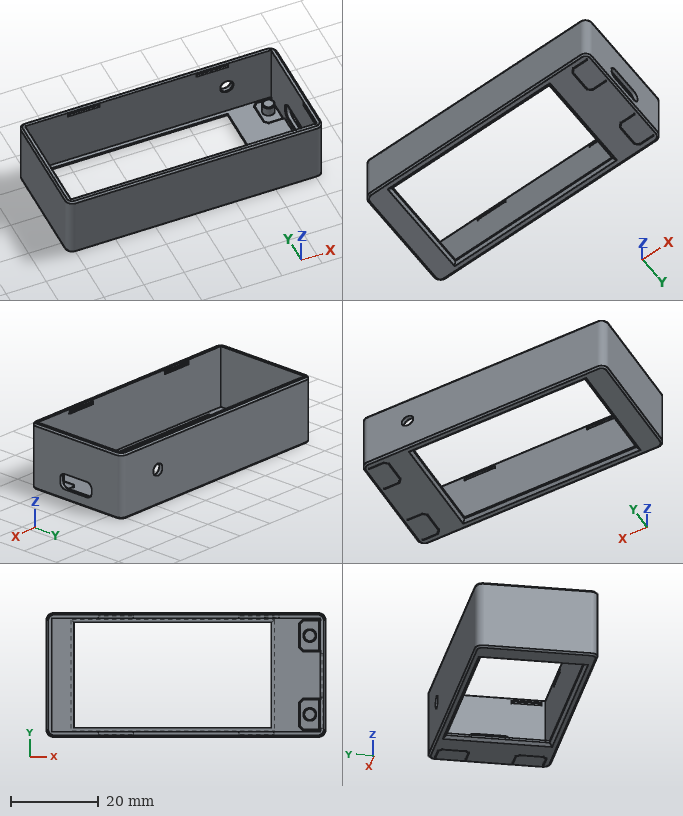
import cadquery as cq
import math

LENGTH = 63.8
WIDTH = 28.4
HEIGHT = 16.2
WALL = 1.2
FLOOR = 1.2
CORNER_RADIUS = 1.8
EDGE_CHAMFER = 0.45

INNER_LENGTH = LENGTH - 2 * WALL
INNER_WIDTH = WIDTH - 2 * WALL
INNER_X = INNER_LENGTH / 2
INNER_Y = INNER_WIDTH / 2
BOTTOM_Z = -HEIGHT / 2
FLOOR_Z = BOTTOM_Z + FLOOR

WINDOW_LENGTH = 45.0
WINDOW_WIDTH = 24.0
WINDOW_X = -3.05
WINDOW_LIP = 0.5
WINDOW_BEVEL = FLOOR - WINDOW_LIP

BUTTON_Y = 9.0
BUTTON_WIDTH = 6.9
BUTTON_START_X = 26.0
BUTTON_CORNER_CHAMFER = 0.75
BUTTON_GAP = 0.2
HINGE_WIDTH = 0.4
HINGE_DEPTH = 0.65

PIN_DIAMETER = 3.0
PIN_X = 28.25
PIN_HEIGHT = 2.5
PIN_CHAMFER = 0.25

ROUND_HOLE_DIAMETER = 3.0
ROUND_HOLE_X = 19.65
ROUND_HOLE_Z = 0.75
ROUND_HOLE_CHAMFER = 0.2

PORT_WIDTH = 9.8
PORT_HEIGHT = 3.8
PORT_CORNER_RADIUS = 1.5
PORT_Z = -3.5
PORT_CHAMFER = 0.25

GROOVE_LENGTH = 8.0
GROOVE_HEIGHT = 0.7
GROOVE_DEPTH = 0.6
GROOVE_Z = 7.3
SIDE_GROOVE_X = 16.0
END_GROOVE_LENGTH = 7.0
END_GROOVE_Y = -8.7


def make_shell():
    outer = (
        cq.Workplane("XY")
        .box(LENGTH, WIDTH, HEIGHT)
        .edges("|Z")
        .fillet(CORNER_RADIUS)
        .faces("<Z or >Z")
        .chamfer(EDGE_CHAMFER)
    )
    cavity = (
        cq.Workplane("XY", origin=(0, 0, FLOOR_Z))
        .rect(INNER_LENGTH, INNER_WIDTH)
        .extrude(HEIGHT)
    )
    return outer.cut(cavity)


def make_window():
    """Straight-sided lip at the top of the floor, with a 45 degree bevel opening out below it."""
    lip = (
        cq.Workplane("XY", origin=(WINDOW_X, 0, BOTTOM_Z))
        .rect(WINDOW_LENGTH, WINDOW_WIDTH)
        .extrude(FLOOR)
    )
    bevel = (
        cq.Workplane("XY", origin=(WINDOW_X, 0, BOTTOM_Z))
        .rect(WINDOW_LENGTH + 2 * WINDOW_BEVEL, WINDOW_WIDTH + 2 * WINDOW_BEVEL)
        .extrude(WINDOW_BEVEL, taper=45)
    )
    return lip.union(bevel)


def button_outline(margin):
    """Floor-thick flap reaching the +X wall, grown by margin on its three free sides."""
    start_x = BUTTON_START_X - margin
    length = INNER_X - start_x
    corner_chamfer = BUTTON_CORNER_CHAMFER + margin * (2 - math.sqrt(2))
    return (
        cq.Workplane("XY", origin=(start_x + length / 2, 0, BOTTOM_Z))
        .rect(length, BUTTON_WIDTH + 2 * margin)
        .extrude(FLOOR)
        .edges("|Z and <X")
        .chamfer(corner_chamfer)
    )


def make_button_cuts():
    """Gap around the flap, and the groove that thins the floor at its hinge."""
    gap = button_outline(BUTTON_GAP).cut(button_outline(0))
    hinge = (
        cq.Workplane("XY", origin=(INNER_X - HINGE_WIDTH / 2, 0, FLOOR_Z))
        .rect(HINGE_WIDTH, BUTTON_WIDTH)
        .extrude(-HINGE_DEPTH)
    )
    return gap.union(hinge)


def make_pin():
    return (
        cq.Workplane("XY", origin=(PIN_X, 0, FLOOR_Z))
        .circle(PIN_DIAMETER / 2)
        .extrude(PIN_HEIGHT)
        .faces(">Z")
        .chamfer(PIN_CHAMFER)
    )


def cut_round_hole(case):
    """Hole through the +Y wall, chamfered on the inside."""
    hole = (
        cq.Workplane("XZ", origin=(ROUND_HOLE_X, WIDTH / 2, ROUND_HOLE_Z))
        .circle(ROUND_HOLE_DIAMETER / 2)
        .extrude(WALL)
    )
    inner_rim = cq.selectors.NearestToPointSelector((ROUND_HOLE_X, INNER_Y, ROUND_HOLE_Z))
    return case.cut(hole).edges(inner_rim).chamfer(ROUND_HOLE_CHAMFER)


def cut_port(case):
    """Rounded opening through the +X wall, chamfered on the inside."""
    opening = (
        cq.Workplane("YZ", origin=(INNER_X, 0, PORT_Z))
        .rect(PORT_WIDTH, PORT_HEIGHT)
        .extrude(WALL)
        .edges("|X")
        .fillet(PORT_CORNER_RADIUS)
    )
    inner_rim = cq.selectors.NearestToPointSelector((INNER_X, 0, PORT_Z + PORT_HEIGHT / 2))
    return case.cut(opening).edges(inner_rim).chamfer(PORT_CHAMFER)


def make_grooves():
    """Two grooves in each long wall and one in the +X wall."""
    side = cq.Workplane("XY").box(GROOVE_LENGTH, INNER_WIDTH + 2 * GROOVE_DEPTH, GROOVE_HEIGHT)
    end = cq.Workplane("XY").box(2 * GROOVE_DEPTH, END_GROOVE_LENGTH, GROOVE_HEIGHT)
    grooves = end.translate((INNER_X, END_GROOVE_Y, GROOVE_Z))
    for x in (-SIDE_GROOVE_X, SIDE_GROOVE_X):
        grooves = grooves.union(side.translate((x, 0, GROOVE_Z)))
    return grooves


result = make_shell().cut(make_window())
for y in (-BUTTON_Y, BUTTON_Y):
    result = result.cut(make_button_cuts().translate((0, y, 0)))
    result = result.union(make_pin().translate((0, y, 0)))
result = cut_port(cut_round_hole(result)).cut(make_grooves())